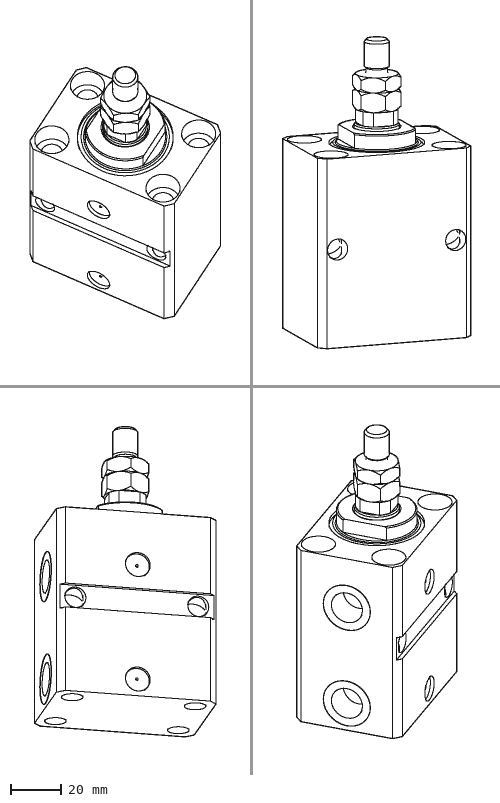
import cadquery as cq
import math

WIDTH = 65.0
DEPTH = 45.0
HEIGHT = 77.0
EDGE_CHAMFER = 3.0

SCREW_X = 25.0
SCREW_Y = 15.0
SCREW_HOLE_DIA = 8.5
SCREW_HEAD_DIA = 13.5
SCREW_HEAD_DEPTH = 9.0

SLOT_DEPTH = 1.8
SLOT_HEIGHT = 10.0
SLOT_Z = 40.0

SIDE_PORT_LEVELS = (12.0, 55.0)
SIDE_PORT_DIA = 13.2
SIDE_PORT_DEPTH = 13.0
SPOTFACE_DIA = 20.0
SPOTFACE_DEPTH = 0.2
FRONT_PORT_LEVELS = (7.0, 55.0)
FRONT_PILOT_LEVELS = (7.5, 55.0)
FRONT_PORT_DIA = 10.0
FRONT_PORT_DEPTH = 1.6
PILOT_DIA = 1.0
PILOT_DEPTH = 2.0

GLAND_DIA = 38.0
GLAND_INSERTION = 12.0
GLAND_BOTTOM = HEIGHT - GLAND_INSERTION
GLAND_CHAMFER = 1.5
HUB_DIA = 32.0
HUB_FLATS = 26.0
HUB_CHAMFER = 0.5
HUB_FOOT = 0.5
HUB_TOP = HEIGHT + 6.5
ROD_BORE_CHAMFER = 0.6

ROD_DIA = 18.0
ROD_CHAMFER = 0.6
ROD_SHOULDER_Z = HEIGHT + 8.0
NECK_DIA = 17.2
NECK_FLATS = 15.0
HEX_FLATS = 17.0
NUT_HEIGHT = 8.0
COLLAR_HEIGHT = 6.2
NUT_Z = HEIGHT + 13.8
COLLAR_Z = NUT_Z + NUT_HEIGHT
COLLAR_TOP = COLLAR_Z + COLLAR_HEIGHT
STUD_DIA = 10.0
STUD_TOP = 119.0
STUD_CHAMFER_LENGTH = 1.1
STUD_CHAMFER_WIDTH = 0.9
UNDERCUT_DIA = 8.6
UNDERCUT_TOP = HEIGHT + 31.0


def cylinder(diameter, bottom, top):
    """Round bar on the Z axis."""
    return cq.Workplane("XY").workplane(offset=bottom).circle(diameter / 2).extrude(top - bottom)


def cone(bottom_dia, top_dia, bottom, top):
    """Truncated cone on the Z axis."""
    return cq.Workplane(cq.Solid.makeCone(bottom_dia / 2, top_dia / 2, top - bottom, cq.Vector(0, 0, bottom)))


def slab(across_x, across_y, bottom, top):
    """Rectangular bar centred on the Z axis."""
    return cq.Workplane("XY").workplane(offset=bottom).rect(across_x, across_y).extrude(top - bottom)


def chamfered_hexagon(bottom, height):
    """Hexagon with corners at +Y and -Y, its corners turned off at both ends."""
    corner_dia = HEX_FLATS / math.cos(math.pi / 6)
    hexagon = (
        cq.Workplane("XY")
        .workplane(offset=bottom)
        .transformed(rotate=(0, 0, 90))
        .polygon(6, corner_dia)
        .extrude(height)
    )
    corner_chamfer = (corner_dia - HEX_FLATS) / 2
    envelope = cylinder(corner_dia, bottom, bottom + height).faces("<Z or >Z").chamfer(corner_chamfer)
    return hexagon.intersect(envelope)


def side_port(level):
    """Port with a spotface and a pilot hole, drilled from the -X side."""
    face = cq.Workplane("YZ", origin=(-WIDTH / 2, 0, level))
    port = face.circle(SIDE_PORT_DIA / 2).extrude(SIDE_PORT_DEPTH)
    port = port.union(face.circle(SPOTFACE_DIA / 2).extrude(SPOTFACE_DEPTH))
    return port.union(face.circle(PILOT_DIA / 2).extrude(SIDE_PORT_DEPTH + PILOT_DEPTH))


def front_port(port_level, pilot_level):
    """Shallow port with a pilot hole in its floor, drilled from the -Y side."""
    face = cq.Workplane("XZ", origin=(0, -DEPTH / 2, 0))
    port = face.center(0, port_level).circle(FRONT_PORT_DIA / 2).extrude(-FRONT_PORT_DEPTH)
    pilot = face.center(0, pilot_level).circle(PILOT_DIA / 2).extrude(-FRONT_PORT_DEPTH - PILOT_DEPTH)
    return port.union(pilot)


def make_housing():
    """Block with the gland recess, screw holes, key slot and ports."""
    body = slab(WIDTH, DEPTH, 0, HEIGHT).edges("|Z").chamfer(EDGE_CHAMFER)
    body = body.cut(cylinder(GLAND_DIA, GLAND_BOTTOM, HEIGHT))

    body = (
        body.faces(">Z")
        .workplane(origin=(0, 0, HEIGHT))
        .rect(2 * SCREW_X, 2 * SCREW_Y, forConstruction=True)
        .vertices()
        .cboreHole(SCREW_HOLE_DIA, SCREW_HEAD_DIA, SCREW_HEAD_DEPTH)
    )

    slot = cq.Workplane("XY").box(WIDTH, 2 * SLOT_DEPTH, SLOT_HEIGHT)
    body = body.cut(slot.translate((0, -DEPTH / 2, SLOT_Z)))
    cross_holes = (
        cq.Workplane("XZ", origin=(0, 0, SLOT_Z))
        .pushPoints([(-SCREW_X, 0), (SCREW_X, 0)])
        .circle(SCREW_HOLE_DIA / 2)
        .extrude(DEPTH, both=True)
    )
    body = body.cut(cross_holes)

    for level in SIDE_PORT_LEVELS:
        body = body.cut(side_port(level))
    for port_level, pilot_level in zip(FRONT_PORT_LEVELS, FRONT_PILOT_LEVELS):
        body = body.cut(front_port(port_level, pilot_level))
    return body


def make_gland():
    """Threaded disc with a flatted hub, bored for the rod."""
    base = cylinder(GLAND_DIA, GLAND_BOTTOM, HEIGHT).faces(">Z").chamfer(GLAND_CHAMFER)
    foot = cone(HUB_DIA + 2 * HUB_FOOT, HUB_DIA, HEIGHT, HEIGHT + HUB_FOOT)
    hub = cylinder(HUB_DIA, HEIGHT + HUB_FOOT, HUB_TOP).faces(">Z").chamfer(HUB_CHAMFER)
    hub = hub.intersect(slab(HUB_FLATS, HUB_DIA, HEIGHT + HUB_FOOT, HUB_TOP))
    gland = base.union(foot).union(hub)
    gland = gland.cut(cylinder(ROD_DIA, GLAND_BOTTOM, HUB_TOP))
    return gland.cut(cone(ROD_DIA, ROD_DIA + 2 * ROD_BORE_CHAMFER, HUB_TOP - ROD_BORE_CHAMFER, HUB_TOP))


def make_rod():
    """Rod, flatted neck, shank through the nut, hexagonal collar and undercut stud."""
    rod = cylinder(ROD_DIA, GLAND_BOTTOM, ROD_SHOULDER_Z).faces(">Z").chamfer(ROD_CHAMFER)
    neck = cylinder(NECK_DIA, ROD_SHOULDER_Z, NUT_Z)
    neck = neck.intersect(slab(NECK_FLATS, NECK_FLATS, ROD_SHOULDER_Z, NUT_Z))
    shank = cylinder(STUD_DIA, NUT_Z, COLLAR_Z)
    collar = chamfered_hexagon(COLLAR_Z, COLLAR_HEIGHT)

    stud_radius = STUD_DIA / 2
    undercut_radius = UNDERCUT_DIA / 2
    step = stud_radius - undercut_radius
    fillet_mid = step * (1 - math.sqrt(0.5))
    stud = (
        cq.Workplane("XZ")
        .moveTo(0, COLLAR_TOP)
        .lineTo(stud_radius, COLLAR_TOP)
        .threePointArc(
            (undercut_radius + fillet_mid, COLLAR_TOP + fillet_mid),
            (undercut_radius, COLLAR_TOP + step),
        )
        .lineTo(undercut_radius, UNDERCUT_TOP - step)
        .lineTo(stud_radius, UNDERCUT_TOP)
        .lineTo(stud_radius, STUD_TOP - STUD_CHAMFER_LENGTH)
        .lineTo(stud_radius - STUD_CHAMFER_WIDTH, STUD_TOP)
        .lineTo(0, STUD_TOP)
        .close()
        .revolve(360, (0, 0), (0, 1))
    )
    return rod.union(neck).union(shank).union(collar).union(stud)


def make_nut():
    """Hexagon nut between the rod neck and the collar."""
    return chamfered_hexagon(NUT_Z, NUT_HEIGHT).cut(cylinder(STUD_DIA, NUT_Z, COLLAR_Z))


housing = make_housing()
gland = make_gland()
rod = make_rod()
nut = make_nut()

result = cq.Compound.makeCompound([housing.val(), gland.val(), rod.val(), nut.val()])